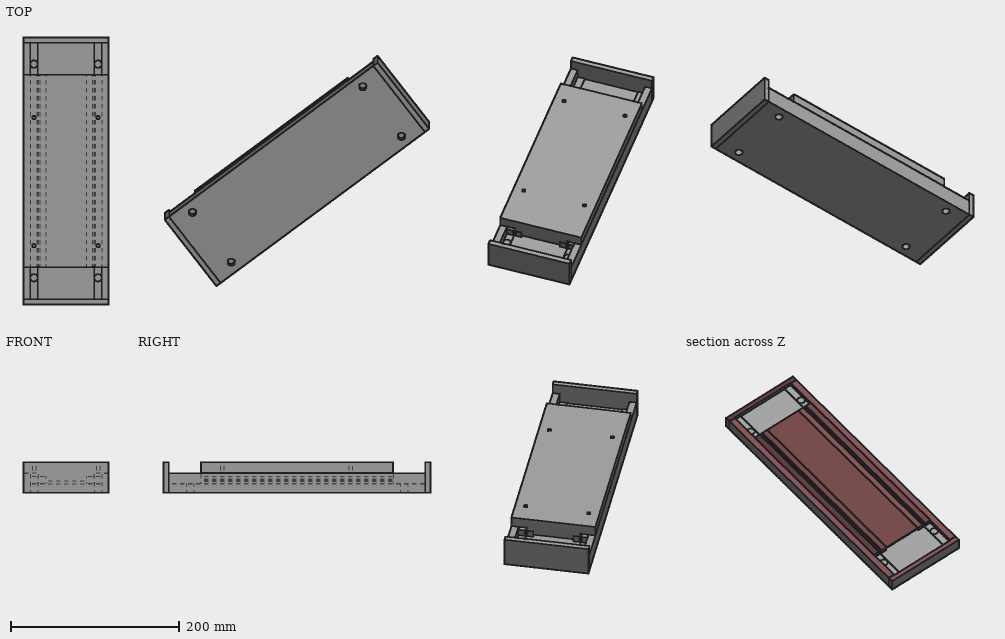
import cadquery as cq

width = 101.5
length = 317.5
height = 36.5

end_thickness = 6.5
wall_thickness = 8.5
wall_height = 23.5
ledge_width = 9.0
ledge_height = 11.5
floor_height = 10.8

mount_diameter = 9.0
mount_depth = 10.8
mount_spacing_y = 254.0

table_length = 228.5
table_bottom = 23.8
tongue_bottom = 14.5
hole_diameter = 4.0
hole_spacing_x = 76.2
hole_spacing_y = 152.5
hole_centre_y = -12.7

rail_top = 19.5
rail_gap = 0.5
inner_rail_width = 8.5
groove_depth = 1.5

half_trough = width / 2 - wall_thickness
half_floor = half_trough - ledge_width
outer_rail_face = half_floor
inner_rail_face = outer_rail_face - rail_gap
inner_rail_back = inner_rail_face - inner_rail_width

base_length = length - 2 * end_thickness
groove_height = (ledge_height + rail_top) / 2


def box_between(x_size, y_size, z_bottom, z_top):
    """Box centred on the Z axis between two heights."""
    box = cq.Workplane("XY").box(x_size, y_size, z_top - z_bottom, centered=(True, True, False))
    return box.translate((0, 0, z_bottom))


def hole_pattern(spacing_x, spacing_y, diameter, depth):
    """Two by two pattern of cylinders standing on Z = 0."""
    places = cq.Workplane("XY").rarray(spacing_x, spacing_y, 2, 2)
    return places.circle(diameter / 2).extrude(depth)


def make_base():
    """Trough with a low ledge along the foot of each wall and mounting holes below."""
    block = box_between(width, base_length, 0, wall_height)
    trough = box_between(2 * half_trough, base_length, ledge_height, wall_height)
    channel = box_between(2 * half_floor, base_length, floor_height, ledge_height)
    mounts = hole_pattern(hole_spacing_x, mount_spacing_y, mount_diameter, mount_depth)
    return block.cut(trough).cut(channel).cut(mounts)


def make_end_plate(side):
    """Plate closing one end of the trough; side is -1 or 1 along Y."""
    plate = box_between(width, end_thickness, 0, height)
    return plate.translate((0, side * (length - end_thickness) / 2, 0))


def make_table():
    """Table with a stepped tongue between the rails and four through holes."""
    slab = box_between(width, table_length, table_bottom, height)
    shoulder = box_between(2 * inner_rail_face, table_length, rail_top, table_bottom)
    tongue = box_between(2 * inner_rail_back, table_length, tongue_bottom, rail_top)
    holes = hole_pattern(hole_spacing_x, hole_spacing_y, hole_diameter, height)
    holes = holes.translate((0, hole_centre_y, 0))
    return slab.union(shoulder).union(tongue).cut(holes)


def make_rail(face, back, groove_bottom):
    """Rail along Y with a V groove in its running face; all three arguments are X positions."""
    outline = [
        (face, ledge_height),
        (back, ledge_height),
        (back, rail_top),
        (face, rail_top),
        (face, groove_height + groove_depth),
        (groove_bottom, groove_height),
        (face, groove_height - groove_depth),
    ]
    return cq.Workplane("XZ").polyline(outline).close().extrude(table_length / 2, both=True)


def make_outer_rail(side):
    """Fixed rail on the ledge against the wall; side is -1 or 1 along X."""
    groove_bottom = outer_rail_face + groove_depth
    return make_rail(side * outer_rail_face, side * half_trough, side * groove_bottom)


def make_inner_rail(side):
    """Moving rail against the table tongue; side is -1 or 1 along X."""
    groove_bottom = inner_rail_face - groove_depth
    return make_rail(side * inner_rail_face, side * inner_rail_back, side * groove_bottom)


sides = (-1, 1)
base = make_base()
table = make_table()
end_plates = [make_end_plate(side) for side in sides]
outer_rails = [make_outer_rail(side) for side in sides]
inner_rails = [make_inner_rail(side) for side in sides]

bodies = [base, table, *end_plates, *outer_rails, *inner_rails]
result = cq.Compound.makeCompound([body.val() for body in bodies])